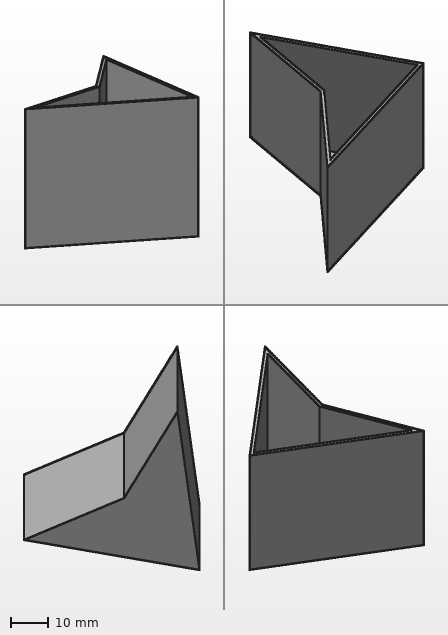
import cadquery as cq
import math

side = 48.3
height = 39.0
wall = 1.0
floor = 1.0
corner_angle = math.radians(72)

left = (0, 0)
back_right = (side, 0)
tip = (side - side * math.cos(corner_angle), -side * math.sin(corner_angle))
notch = (side / 2, -side / 2 * math.tan(corner_angle / 2))

corners = [left, back_right, tip, notch]
body = cq.Workplane("XY").polyline(corners).close().extrude(height)

cavity = (
    cq.Workplane("XY", origin=(0, 0, floor))
    .polyline(corners)
    .close()
    .offset2D(-wall, "intersection")
    .extrude(height - floor)
)

result = body.cut(cavity)